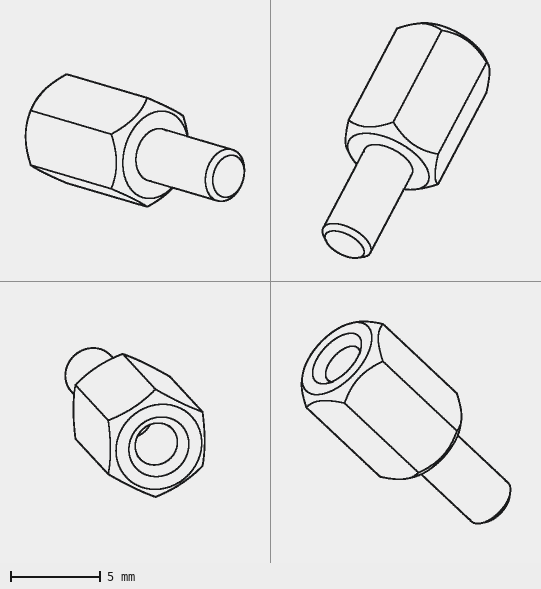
import cadquery as cq
import math

total_length = 14
body_length = 8.0

across_flats = 5.5
across_corners = across_flats / math.cos(math.radians(30))
end_face_diameter = 5.0
corner_bevel = (across_corners - end_face_diameter) / 2

stud_diameter = 3.0
tip_chamfer = 0.3

hole_diameter = 2.46
hole_depth = 5.6
countersink_diameter = 3.5
drill_point_angle = 118


def revolve_about_x(profile):
    """Revolve a closed (x, radius) profile about the X axis."""
    return cq.Workplane("XY").polyline(profile).close().revolve(360, (0, 0, 0), (1, 0, 0))


def make_body():
    """Hexagonal prism with 45 degree conical bevels on the corners of both ends."""
    prism = (
        cq.Workplane("YZ")
        .polygon(6, across_corners)
        .extrude(body_length)
        .rotate((0, 0, 0), (1, 0, 0), 90)
    )
    end_radius = end_face_diameter / 2
    corner_radius = across_corners / 2
    envelope = revolve_about_x([
        (0, 0),
        (0, end_radius),
        (corner_bevel, corner_radius),
        (body_length - corner_bevel, corner_radius),
        (body_length, end_radius),
        (body_length, 0),
    ])
    return prism.intersect(envelope)


def make_stud():
    """Plain cylindrical stud with a chamfered tip."""
    return (
        cq.Workplane("YZ", origin=(body_length, 0, 0))
        .circle(stud_diameter / 2)
        .extrude(total_length - body_length)
        .faces(">X")
        .chamfer(tip_chamfer)
    )


def make_hole():
    """Solid to remove: 45 degree countersink, straight bore and conical bottom."""
    hole_radius = hole_diameter / 2
    countersink_radius = countersink_diameter / 2
    countersink_depth = countersink_radius - hole_radius
    point_depth = hole_radius / math.tan(math.radians(drill_point_angle / 2))
    return revolve_about_x([
        (0, 0),
        (0, countersink_radius),
        (countersink_depth, hole_radius),
        (hole_depth, hole_radius),
        (hole_depth + point_depth, 0),
    ])


result = make_body().union(make_stud()).cut(make_hole())